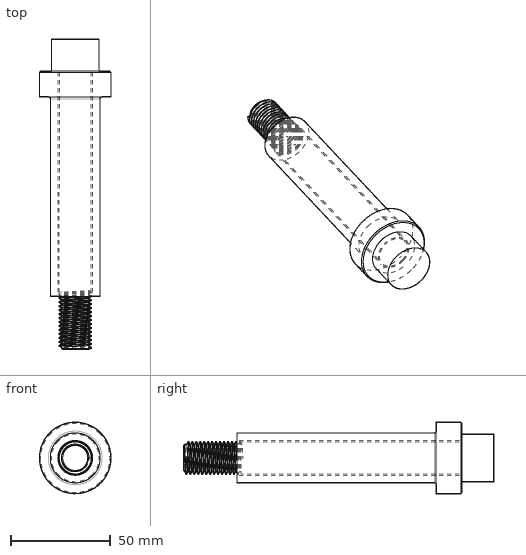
import cadquery as cq

LENGTH = 156.0
REAR_Y = LENGTH / 2
FRONT_Y = -LENGTH / 2

HEAD_DIAMETER = 24.0
HEAD_LENGTH = 16.0
SHANK_DIAMETER = 16.0
CORE_DIAMETER = 13.9
CORE_CHAMFER = 0.6

THREAD_DIAMETER = 16.5
THREAD_START = 1.0
THREAD_TURNS = 14
THREAD_LENGTH = 28.0
THREAD_PITCH = THREAD_LENGTH / THREAD_TURNS
TOOTH_ROOT_WIDTH = 1.5
TOOTH_CREST_WIDTH = 0.3
TOOTH_EMBED = 0.3

SLEEVE_DIAMETER = 25.1
SCREW_PROJECTION = 26.8
SLEEVE_BORE = 17.5
COLLAR_DIAMETER = 36.0
COLLAR_LENGTH = 13.0
COLLAR_CHAMFER = 0.6
NECK_FILLET = 1.0

HEAD_SEAT_Y = REAR_Y - HEAD_LENGTH


def cylinder(diameter, rear_y, front_y):
    """Round bar on the Y axis, between two positions along it."""
    return cq.Workplane("XZ", origin=(0, rear_y, 0)).circle(diameter / 2).extrude(rear_y - front_y)


def make_thread():
    """Helical tooth, starting on the +X side near the front end and running toward +Y."""
    core_radius = CORE_DIAMETER / 2
    crest_radius = THREAD_DIAMETER / 2
    flank_run = (TOOTH_ROOT_WIDTH - TOOTH_CREST_WIDTH) / 2
    flank_slope = flank_run / (crest_radius - core_radius)
    base_radius = core_radius - TOOTH_EMBED
    base_half_width = TOOTH_ROOT_WIDTH / 2 + TOOTH_EMBED * flank_slope
    crest_half_width = TOOTH_CREST_WIDTH / 2

    helix = cq.Wire.makeHelix(THREAD_PITCH, THREAD_LENGTH, core_radius)
    tooth = cq.Workplane("XZ").polyline([
        (base_radius, -base_half_width),
        (crest_radius, -crest_half_width),
        (crest_radius, crest_half_width),
        (base_radius, base_half_width),
    ]).close()
    thread = tooth.sweep(cq.Workplane(helix), isFrenet=True)
    return thread.rotate((0, 0, 0), (1, 0, 0), -90).translate((0, FRONT_Y + THREAD_START, 0))


def make_screw():
    """Cap screw with a plain head and a helical thread."""
    thread_rear_y = FRONT_Y + THREAD_START + THREAD_LENGTH
    head = cylinder(HEAD_DIAMETER, REAR_Y, HEAD_SEAT_Y)
    shank = cylinder(SHANK_DIAMETER, HEAD_SEAT_Y, thread_rear_y)
    core = cylinder(CORE_DIAMETER, thread_rear_y, FRONT_Y).faces("<Y").chamfer(CORE_CHAMFER)
    return core.union(make_thread()).union(shank).union(head)


def make_sleeve():
    """Bored sleeve with a collar at its rear end, chamfered behind and filleted in front."""
    front_y = FRONT_Y + SCREW_PROJECTION
    collar_front_y = HEAD_SEAT_Y - COLLAR_LENGTH
    tube_radius = SLEEVE_DIAMETER / 2
    collar_radius = COLLAR_DIAMETER / 2
    bore_radius = SLEEVE_BORE / 2
    half_section = (
        cq.Workplane("XY")
        .moveTo(bore_radius, front_y)
        .lineTo(tube_radius, front_y)
        .lineTo(tube_radius, collar_front_y - NECK_FILLET)
        .radiusArc((tube_radius + NECK_FILLET, collar_front_y), NECK_FILLET)
        .lineTo(collar_radius, collar_front_y)
        .lineTo(collar_radius, HEAD_SEAT_Y - COLLAR_CHAMFER)
        .lineTo(collar_radius - COLLAR_CHAMFER, HEAD_SEAT_Y)
        .lineTo(bore_radius, HEAD_SEAT_Y)
        .close()
    )
    return half_section.revolve(360, (0, 0, 0), (0, 1, 0))


screw = make_screw()
sleeve = make_sleeve()
result = cq.Compound.makeCompound([screw.solids().val(), sleeve.solids().val()])